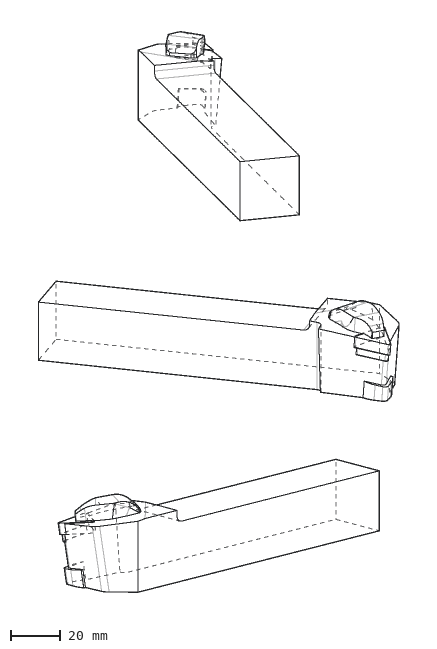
import cadquery as cq
import math

length = 149.5
shank_width = 25.0
shank_height = 25.0
head_height = 29.9
head_end = 35.9
step_radius = 2.5
flange_end = 30.6
flange_radius = 2.1
flange_reach = 44.8

tilt_angle = 8.0
crease_x = 18.0
deep = 59.8
overrun = 15.0
far = 89.7

flank_angle = 3.0
flank_corner = (0.7, 31.7)
flank_nose_radius = 1.5
chamfer_sum = 14.0
chamfer_radius = 4.5

insert_tip = (-0.72, 32.3)
insert_side = 16.5
insert_angle = 60.0
insert_nose_radius = 0.7
insert_thickness = 4.8
insert_rise = 0.3
shim_inset = 0.3
shim_nose_radius = 1.0
shim_thickness = 3.1

lug_depth = 18.7
lug_offset = 1.2
lug_flat = 5.1
lug_runout = 3.9
lug_bulge = 0.75
lug_nose_radius = 1.8

clamp_height = 6.5
clamp_root = 1.5
clamp_front_height = 3.1
clamp_crown_radius = 12.3
clamp_flat_start = -6.6
clamp_front_slope = 31.0
clamp_back_start = 25.1
clamp_back_radius = 8.4
clamp_back_slope = 45.0
clamp_axis_angle = -(flank_angle + insert_angle / 2)
clamp_draft = 8.0
clamp_facets = [
    ((13.0, 13.5, 29.5), (-4.0, -7.6, -0.5)),
    ((18.1, 10.8, 29.5), (-1.9, -5.0, -0.55)),
]
clamp_heel = [(29.1, 20.2), (30.0, 18.7), (29.9, 17.2), (25.3, 9.5), (23.5, 8.5), (19.3, 9.1), (15.5, 10.6)]


def tilted(shape):
    """Turn a shape drawn at head height into the tilted head plane, about the crease."""
    return shape.rotate((crease_x, 0, head_height), (crease_x + 1.5, 1.5, head_height), -tilt_angle)


def head_plane(height=0.0):
    return cq.Workplane("XY", origin=(0, 0, head_height + height))


def polar(start, distance, angle):
    turn = math.radians(angle)
    return (start[0] + distance * math.cos(turn), start[1] + distance * math.sin(turn))


def make_blank():
    bar = (
        cq.Workplane("XZ")
        .polyline([(-overrun, 0), (length, 0), (length, shank_height), (head_end, shank_height),
                   (head_end, head_height), (-overrun, head_height)])
        .close()
        .extrude(-shank_width)
        .edges(cq.selectors.NearestToPointSelector((head_end, shank_width / 2, shank_height)))
        .fillet(step_radius)
    )
    flange = (
        cq.Workplane("XY")
        .moveTo(-overrun, shank_width / 2)
        .lineTo(flange_end + flange_radius, shank_width / 2)
        .lineTo(flange_end + flange_radius, shank_width)
        .radiusArc((flange_end, shank_width + flange_radius), flange_radius)
        .lineTo(flange_end, flange_reach)
        .lineTo(-overrun, flange_reach)
        .close()
        .extrude(head_height)
    )
    return bar.union(flange)


def make_flank_prism():
    slope = math.tan(math.radians(flank_angle))
    corner_x, corner_y = flank_corner
    meet_y = (chamfer_sum - corner_x - slope * corner_y) / (1 - slope)
    meet = (chamfer_sum - meet_y, meet_y)
    back_end = (length + far, corner_y - slope * (length + far - corner_x))
    prism = (
        head_plane(far)
        .polyline([flank_corner, meet, (chamfer_sum + far, -far), (length + far, -far), back_end])
        .close()
        .extrude(-far - deep)
    )
    near = cq.selectors.NearestToPointSelector
    middle = head_height + (far - deep) / 2
    prism = prism.edges(near((*flank_corner, middle))).fillet(flank_nose_radius)
    return tilted(prism.edges(near((*meet, middle))).fillet(chamfer_radius))


def make_triangle(inset, nose_radius, top, thickness):
    """Equilateral prism of the insert shape, its outline moved inward by `inset`."""
    tip = polar(insert_tip, 2 * inset, clamp_axis_angle)
    side = insert_side - 2 * math.sqrt(3) * inset
    corners = [tip, polar(tip, side, -flank_angle), polar(tip, side, -flank_angle - insert_angle)]
    prism = head_plane(top).polyline(corners).close().extrude(-thickness)
    return tilted(prism.edges("|Z").fillet(nose_radius))


def make_lug():
    """Foot drawn in axes along the two flanks, with the corner of the flanks at the origin."""
    half = lug_flat + lug_runout
    flat_end = lug_flat - lug_offset
    out = lug_offset
    foot = (
        cq.Workplane("XY")
        .moveTo(-out, out)
        .lineTo(flat_end, out)
        .tangentArcPoint((half, 0), relative=False)
        .lineTo(half, -half)
        .lineTo(0, -half)
        .threePointArc((-out * lug_bulge, -(flat_end + half) / 2), (-out, -flat_end))
        .close()
        .extrude(-deep)
        .edges(cq.selectors.NearestToPointSelector((-out, out, -deep / 2)))
        .fillet(lug_nose_radius)
        .rotate((0, 0, 0), (0, 0, 1), -flank_angle)
    )
    return tilted(foot.translate((*flank_corner, head_height - lug_depth)))


def make_clamp():
    outline = (
        head_plane(-clamp_root)
        .moveTo(4.3, 27.7)
        .lineTo(7.3, 30.0)
        .lineTo(8.4, 29.9)
        .threePointArc((12.3, 27.4), (16.6, 26.8))
        .threePointArc((20.0, 25.7), (23.0, 23.6))
        .polyline(clamp_heel, includeCurrent=True)
        .threePointArc((9.9, 17.3), (6.5, 22.3))
        .lineTo(4.3, 26.2)
        .close()
        .extrude(clamp_height + clamp_root)
    )
    body = outline.intersect(make_heel_draft()).intersect(make_front_profile())
    clamp = tilted(body.intersect(make_back_profile()))
    for point, normal in clamp_facets:
        waste = cq.Workplane(cq.Plane(origin=point, normal=normal)).rect(far, far).extrude(far)
        clamp = clamp.cut(waste)
    return clamp


def make_heel_draft():
    """Tapered prism on the heel outline, its two long sides carried forward past the nose."""
    return (
        head_plane(-clamp_root)
        .polyline([(-0.1, 39.5), *clamp_heel[:-1], (-5.8, 19.0)])
        .close()
        .extrude(clamp_height + clamp_root, taper=clamp_draft)
    )


def make_front_profile():
    """Crowned top of the clamp nose, swept along the crease direction."""
    slope = math.radians(clamp_front_slope)
    knee = clamp_flat_start - clamp_crown_radius * math.sin(slope)
    knee_height = clamp_height - clamp_crown_radius * (1 - math.cos(slope))
    front = knee - (knee_height - clamp_front_height) / math.tan(slope)
    section = cq.Plane(origin=(0, 0, head_height), xDir=(1, -1, 0), normal=(-1, -1, 0))
    return (
        cq.Workplane(section)
        .moveTo(far, -overrun)
        .lineTo(far, clamp_height)
        .lineTo(clamp_flat_start, clamp_height)
        .tangentArcPoint((knee, knee_height), relative=False)
        .lineTo(front, clamp_front_height)
        .lineTo(front, -overrun)
        .close()
        .extrude(far, both=True)
    )


def make_back_profile():
    """Rounded heel of the clamp, swept across the clamp axis."""
    slope = math.radians(clamp_back_slope)
    knee = clamp_back_start + clamp_back_radius * math.sin(slope)
    knee_height = clamp_height - clamp_back_radius * (1 - math.cos(slope))
    turn = math.radians(clamp_axis_angle)
    section = cq.Plane(
        origin=(*insert_tip, head_height),
        xDir=(math.cos(turn), math.sin(turn), 0),
        normal=(math.sin(turn), -math.cos(turn), 0),
    )
    return (
        cq.Workplane(section)
        .moveTo(-far, -overrun)
        .lineTo(-far, clamp_height)
        .lineTo(clamp_back_start, clamp_height)
        .tangentArcPoint((knee, knee_height), relative=False)
        .lineTo(knee + (knee_height + overrun) / math.tan(slope), -overrun)
        .close()
        .extrude(far, both=True)
    )


def make_holder(insert):
    wide = 4 * far
    above = tilted(head_plane().rect(wide, wide).extrude(far))
    below = cq.Workplane("XY").rect(wide, wide).extrude(-far)
    shank = (
        cq.Workplane("XY", origin=(flange_end, 0, 0))
        .box(length - flange_end, shank_width, shank_height, centered=False)
    )
    head = make_blank().intersect(make_flank_prism()).cut(above).union(shank)
    shim = make_triangle(shim_inset, shim_nose_radius, insert_rise - insert_thickness, shim_thickness)
    return head.union(shim).union(make_lug()).cut(below).union(make_clamp()).cut(insert)


insert = make_triangle(0, insert_nose_radius, insert_rise, insert_thickness)
holder = make_holder(insert)
result = cq.Compound.makeCompound([holder.val(), insert.val()])